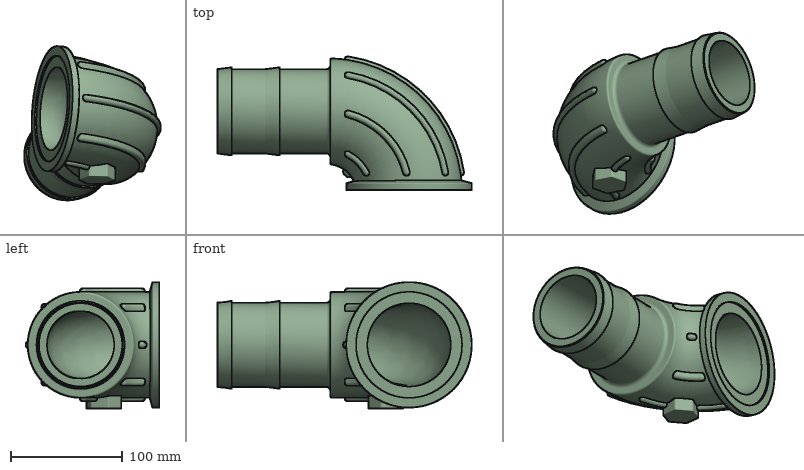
import cadquery as cq
import math

OVERALL_LENGTH = 228.6
FLANGE_DIAMETER = 112.78
FLANGE_RADIUS = FLANGE_DIAMETER / 2
FLANGE_AXIS_X = OVERALL_LENGTH - FLANGE_RADIUS
HOSE_AXIS_Y = 70.8

BODY_DIAMETER = 95.25
BODY_RADIUS = BODY_DIAMETER / 2
BEND_INNER_RADIUS = 25.4
BEND_RADIUS = BEND_INNER_RADIUS + BODY_RADIUS
BEND_CENTER_X = FLANGE_AXIS_X - BEND_RADIUS
BEND_CENTER_Y = HOSE_AXIS_Y - BEND_RADIUS
BODY_START_X = 101.5
BODY_EDGE_FILLET = 1.6

HOSE_BORE_DIAMETER = 60.45
FLANGE_BORE_DIAMETER = 75.41

TUBE_RADIUS = 37.95
TUBE_FILLET = 3.4
TUBE_END_CHAMFER = 0.6
BARB_RADIUS = 39.6
BARB_LENGTH = 13.0
BARB_STARTS_X = (0.0, 43.0)

FLANGE_RIM_THICKNESS = 6.35
FLANGE_RIM_FILLET = 1.0
FLANGE_NECK_RADIUS = 45.5
FLANGE_NECK_Y = 9.4
RECESS_DIAMETER = 95.25
RECESS_DEPTH = 1.6

RIB_RADIUS = 3.175
RIB_SPACING_ANGLE = 45
RIB_SKIRT = 5.0
RIB_END_INSET = 18.3
INNER_RIB_END_INSET = 16.9

PAD_ACROSS_FLATS = 28.58
PAD_CENTER_RADIUS = 73.8
PAD_TURN_ANGLE = 45 + 30
PAD_BOTTOM_Z = -57.15
PAD_ROOT_Z = -41.0
PAD_CORNER_FILLET = 2.0
PAD_EDGE_FILLET = 0.5


def solid_along_x(radius, start_x, end_x):
    plane = cq.Workplane("YZ", origin=(start_x, HOSE_AXIS_Y, 0))
    return plane.circle(radius).extrude(end_x - start_x)


def quarter_bend(start_radius, end_radius):
    """Sweep a circle from the hose end of the bend to its flange end."""
    half_turn = BEND_RADIUS * math.sqrt(0.5)
    path = (
        cq.Workplane("XY")
        .moveTo(BEND_CENTER_X, HOSE_AXIS_Y)
        .threePointArc(
            (BEND_CENTER_X + half_turn, BEND_CENTER_Y + half_turn),
            (FLANGE_AXIS_X, BEND_CENTER_Y),
        )
    )
    hose_end = cq.Workplane("YZ", origin=(BEND_CENTER_X, HOSE_AXIS_Y, 0)).circle(start_radius)
    if start_radius == end_radius:
        return hose_end.sweep(path)
    flange_end = cq.Workplane("XZ", origin=(FLANGE_AXIS_X, BEND_CENTER_Y, 0)).circle(end_radius)
    hose_end.ctx.pendingWires.extend(flange_end.ctx.pendingWires)
    return hose_end.sweep(path, multisection=True)


def hose_tube():
    tube = solid_along_x(TUBE_RADIUS, 0, BODY_START_X + TUBE_FILLET)
    for start_x in BARB_STARTS_X:
        barb = (
            cq.Workplane("XY", origin=(start_x, HOSE_AXIS_Y, 0))
            .polyline([(0, 0), (0, TUBE_RADIUS), (BARB_LENGTH, BARB_RADIUS), (BARB_LENGTH, 0)])
            .close()
            .revolve(360, (0, 0, 0), (1, 0, 0))
        )
        tube = tube.union(barb)
    return tube.faces("<X").edges().chamfer(TUBE_END_CHAMFER)


def body():
    clip_size = 2 * OVERALL_LENGTH
    clip = cq.Workplane("XY", origin=(BODY_START_X, 0, 0))
    clip = clip.box(clip_size, clip_size, clip_size, centered=(False, False, True))
    elbow = quarter_bend(BODY_RADIUS, BODY_RADIUS).intersect(clip)
    elbow = elbow.faces("<X").edges().fillet(BODY_EDGE_FILLET)
    corner_x = BODY_START_X - TUBE_FILLET
    corner_radius = TUBE_RADIUS + TUBE_FILLET
    diagonal = TUBE_FILLET * math.sqrt(0.5)
    root_ring = (
        cq.Workplane("XY", origin=(0, HOSE_AXIS_Y, 0))
        .moveTo(corner_x, TUBE_RADIUS)
        .threePointArc(
            (corner_x + diagonal, corner_radius - diagonal),
            (BODY_START_X, corner_radius),
        )
        .lineTo(BODY_START_X, 0)
        .lineTo(corner_x, 0)
        .close()
        .revolve(360, (0, 0, 0), (1, 0, 0))
    )
    return elbow.union(root_ring)


def flange():
    profile = [
        (0, 0),
        (FLANGE_RADIUS, 0),
        (FLANGE_RADIUS, FLANGE_RIM_THICKNESS),
        (FLANGE_NECK_RADIUS, FLANGE_NECK_Y),
        (0, FLANGE_NECK_Y),
    ]
    disc = (
        cq.Workplane("XY", origin=(FLANGE_AXIS_X, 0, 0))
        .polyline(profile)
        .close()
        .revolve(360, (0, 0, 0), (0, 1, 0))
    )
    rim_edges = disc.edges(cq.selectors.RadiusNthSelector(-1))
    return rim_edges.edges(">Y").fillet(FLANGE_RIM_FILLET)


def rib_half_section(center_radius, with_skirt):
    """Outer half of a rib section in the XZ plane, centered on the top dome at the given radius."""
    half = cq.Workplane("XZ", origin=(center_radius, 0, 0)).moveTo(0, RIB_RADIUS)
    diagonal = RIB_RADIUS * math.sqrt(0.5)
    if with_skirt:
        half = half.threePointArc((diagonal, diagonal), (RIB_RADIUS, 0))
        return half.lineTo(RIB_RADIUS, -RIB_SKIRT).lineTo(0, -RIB_SKIRT).close()
    return half.threePointArc((RIB_RADIUS, 0), (0, -RIB_RADIUS)).close()


def rib_section(center_radius, with_skirt):
    """Full rib section in the XZ plane."""
    section = cq.Workplane("XZ", origin=(center_radius, 0, 0))
    if with_skirt:
        section = section.moveTo(-RIB_RADIUS, 0).threePointArc((0, RIB_RADIUS), (RIB_RADIUS, 0))
        return section.lineTo(RIB_RADIUS, -RIB_SKIRT).lineTo(-RIB_RADIUS, -RIB_SKIRT).close()
    return section.circle(RIB_RADIUS)


def rib(around_angle, end_inset=RIB_END_INSET):
    """One rib; 0 degrees is the outside of the bend, 90 the top and 180 the inside."""
    around = math.radians(around_angle)
    arc_radius = BEND_RADIUS + BODY_RADIUS * math.cos(around)
    height = BODY_RADIUS * math.sin(around)
    with_skirt = 0 < around_angle < 180
    end_angle = math.degrees(math.asin(end_inset / arc_radius))
    sweep_angle = 90 - 2 * end_angle

    half_round = rib_half_section(arc_radius, with_skirt).revolve(180, (0, 0, 0), (0, 1, 0))
    far_end = half_round.rotate((0, 0, 0), (0, 0, 1), sweep_angle)
    near_end = half_round.rotate((arc_radius, 0, 0), (arc_radius, 0, 1), 180)
    section = rib_section(arc_radius, with_skirt)
    strip = section.revolve(sweep_angle, (-arc_radius, 0, 0), (-arc_radius, 1, 0))
    strip = strip.union(near_end).union(far_end)
    strip = strip.rotate((0, 0, 0), (0, 0, 1), end_angle)
    return strip.translate((BEND_CENTER_X, BEND_CENTER_Y, height))


def pad():
    center_offset = PAD_CENTER_RADIUS * math.sqrt(0.5)
    across_corners = PAD_ACROSS_FLATS / math.cos(math.radians(30))
    center = (BEND_CENTER_X + center_offset, BEND_CENTER_Y + center_offset, PAD_BOTTOM_Z)
    block = (
        cq.Workplane("XY", origin=center)
        .transformed(rotate=(0, 0, PAD_TURN_ANGLE))
        .polygon(6, across_corners)
        .extrude(PAD_ROOT_Z - PAD_BOTTOM_Z)
    )
    block = block.edges("|Z").fillet(PAD_CORNER_FILLET)
    return block.faces("<Z").edges().fillet(PAD_EDGE_FILLET)


def bore():
    hose_bore = solid_along_x(HOSE_BORE_DIAMETER / 2, 0, BEND_CENTER_X)
    bend_bore = quarter_bend(HOSE_BORE_DIAMETER / 2, FLANGE_BORE_DIAMETER / 2)
    face = cq.Workplane("XZ", origin=(FLANGE_AXIS_X, 0, 0))
    recess = face.circle(RECESS_DIAMETER / 2).extrude(-RECESS_DEPTH)
    return hose_bore.union(bend_bore).union(recess)


part = body().union(hose_tube()).union(flange())
part = part.union(rib(0)).union(rib(180, INNER_RIB_END_INSET))
for around_angle in range(RIB_SPACING_ANGLE, 180, RIB_SPACING_ANGLE):
    upper_rib = rib(around_angle)
    part = part.union(upper_rib).union(upper_rib.mirror("XY"))
result = part.union(pad()).cut(bore())